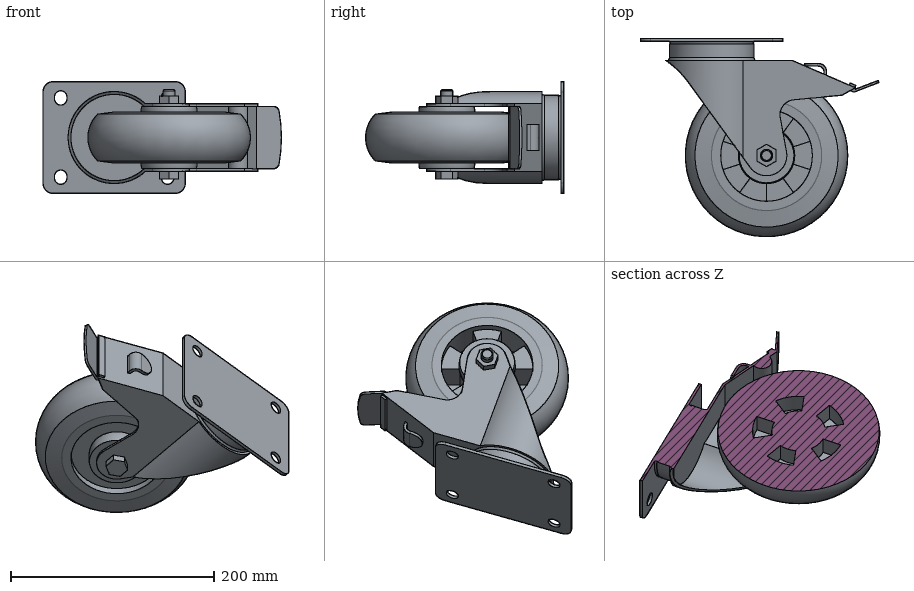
import cadquery as cq
import math


plate_length = 140.0
plate_width = 110.0
plate_thickness = 3.0
plate_corner = 10.0
plate_top = 115.1
swivel_x = -54.0
slot_spacing_x = 105.0
slot_spacing_z = 77.9
slot_width = 12.0
slot_length = 13.8

ring_diameter = 83.2
ring_edge = 1.0
neck_height = 2.3
ring_flare_height = 2.5

fork_top = 93.5
sheet = 2.8
fork_diameter = 90.5
cheek_half_width = 33.3
cheek_end_radius = 20.0
front_edge_angle = 216.0
front_edge_length = 103.2
rear_edge_angle = 10.6
inner_corner = (10.5, 53.2)
inner_corner_radius = 15.0
arm_heel = (74.0, 59.0)
arm_tip = (87.2, 66.5)
roof_bend_x = 25.0

wheel_radius = 80.0
tread_edge_radius = 70.4
tread_half_width = 23.0
rim_outer_radius = 54.2
rim_inner_radius = 45.0
rim_half_width = 25.0
pocket_count = 5
web_half_width = 17.1
pocket_floor = -13.8
core_radius = 26.5
hub_diameter = 55.5
hub_barrel = 1.0
hub_half_width = cheek_half_width - sheet

bolt_diameter = 12.0
bolt_end = 47.1
bolt_chamfer = 1.2
nut_flats = 19.0
nut_height = 7.5

pivot_diameter = 20.0
pivot_x = 68.2
pivot_y = 70.8
brake_sheet = 2.3
brake_half_width = 30.7
pedal_start = (85.8, 62.1)
pedal_angle = 21.0
pedal_length = 26.5
pedal_corner = 5.9
pedal_bow = 3.5
stop_width = 6.0
stop_height = 2.3
stop_from_tip = 0.5
lip_top = 90.5
lip_start_x = 37.5
lip_end_x = 59.0
lip_width = 25.8
lip_bend = 8.2

roof_slope = math.atan2(fork_top - arm_tip[1], arm_tip[0] - roof_bend_x)


def polar(radius, degrees):
    angle = math.radians(degrees)
    return (radius * math.cos(angle), radius * math.sin(angle))


def roof_y(x, depth=0.0):
    """Height of the sloping roof at x, measured depth below its outer face."""
    return fork_top - (x - roof_bend_x) * math.tan(roof_slope) - depth / math.cos(roof_slope)


def prism(outline, half_width):
    """Extrude a closed XY outline to both sides of the mid-plane."""
    return outline.extrude(half_width, both=True)


def make_plate():
    plate = (
        cq.Workplane("XZ", origin=(swivel_x, plate_top, 0))
        .rect(plate_length, plate_width)
        .extrude(plate_thickness)
        .edges("|Y")
        .fillet(plate_corner)
    )
    slots = (
        cq.Workplane("XZ", origin=(swivel_x, plate_top, 0))
        .rect(slot_spacing_x, slot_spacing_z, forConstruction=True)
        .vertices()
        .slot2D(slot_length, slot_width, 90)
        .extrude(plate_thickness)
    )
    return plate.cut(slots)


def make_swivel_ring():
    """Turned ring with a tapered neck under the plate and a flared foot on the fork."""
    radius = ring_diameter / 2
    top = plate_top - plate_thickness
    return (
        cq.Workplane("XY", origin=(swivel_x, 0, 0))
        .moveTo(0, fork_top - sheet)
        .lineTo(0, top)
        .lineTo(radius, top)
        .lineTo(radius - ring_edge, top - neck_height)
        .lineTo(radius, top - neck_height)
        .lineTo(radius, fork_top + ring_flare_height)
        .lineTo(radius + ring_edge, fork_top)
        .lineTo(radius + ring_edge, fork_top - sheet)
        .close()
        .revolve(360, (0, 0), (0, 1))
    )


def fork_section(inset):
    """Round-nosed block as seen along Y, reduced by inset all round."""
    depth = fork_top + cheek_end_radius
    reach = arm_tip[0] - swivel_x
    half_width = cheek_half_width - inset
    base = cq.Workplane("XZ", origin=(swivel_x, fork_top, 0))
    radius = fork_diameter / 2 - inset
    flat_start = math.sqrt(radius**2 - half_width**2)
    return (
        base.moveTo(flat_start, half_width)
        .threePointArc((-radius, 0), (flat_start, -half_width))
        .lineTo(reach, -half_width)
        .lineTo(reach, half_width)
        .close()
        .extrude(depth)
    )


def make_fork():
    front_tangent = polar(cheek_end_radius, front_edge_angle)
    along_front = polar(front_edge_length, front_edge_angle - 90)
    front_end = (front_tangent[0] + along_front[0], front_tangent[1] + along_front[1])
    rear_tangent = polar(cheek_end_radius, rear_edge_angle)
    side = prism(
        cq.Workplane("XY")
        .moveTo(*front_tangent)
        .lineTo(*front_end)
        .tangentArcPoint((swivel_x - fork_diameter / 2, fork_top), relative=False)
        .lineTo(roof_bend_x, fork_top)
        .lineTo(*arm_tip)
        .lineTo(*arm_heel)
        .lineTo(*inner_corner)
        .lineTo(*rear_tangent)
        .threePointArc((0, -cheek_end_radius), front_tangent)
        .close(),
        fork_diameter,
    )
    side = side.edges(cq.selectors.NearestToPointSelector((*inner_corner, 0))).fillet(inner_corner_radius)

    bend_depth_x = roof_bend_x - sheet * math.tan(roof_slope / 2)
    under_roof = prism(
        cq.Workplane("XY")
        .moveTo(swivel_x - fork_diameter, fork_top - sheet)
        .lineTo(bend_depth_x, fork_top - sheet)
        .lineTo(arm_tip[0], roof_y(arm_tip[0], sheet))
        .lineTo(arm_tip[0], -wheel_radius)
        .lineTo(swivel_x - fork_diameter, -wheel_radius)
        .close(),
        fork_diameter,
    )
    cavity = fork_section(sheet).intersect(under_roof)
    return fork_section(0).intersect(side).cut(cavity)


def make_wheel():
    wheel = (
        cq.Workplane("XZ")
        .moveTo(rim_inner_radius, -rim_half_width)
        .lineTo(rim_outer_radius, -rim_half_width)
        .lineTo(tread_edge_radius, -tread_half_width)
        .threePointArc((wheel_radius, 0), (tread_edge_radius, tread_half_width))
        .lineTo(rim_outer_radius, rim_half_width)
        .lineTo(rim_inner_radius, rim_half_width)
        .close()
        .revolve(360, (0, 0), (0, 1))
    )
    web = prism(cq.Workplane("XY").circle(rim_inner_radius), web_half_width)

    half_angle = 180 / pocket_count / 2
    for index in range(pocket_count):
        middle = (index + 0.5) * 360 / pocket_count
        first = middle - half_angle
        last = middle + half_angle
        pocket = (
            cq.Workplane("XY", origin=(0, 0, pocket_floor))
            .moveTo(*polar(core_radius, first))
            .lineTo(*polar(rim_inner_radius, first))
            .threePointArc(polar(rim_inner_radius, middle), polar(rim_inner_radius, last))
            .lineTo(*polar(core_radius, last))
            .threePointArc(polar(core_radius, middle), polar(core_radius, first))
            .close()
            .extrude(web_half_width - pocket_floor)
        )
        web = web.cut(pocket)
    wheel = wheel.union(web)

    hub_radius = hub_diameter / 2
    for side in (-1, 1):
        inner = side * web_half_width
        outer = side * hub_half_width
        hub_end = (
            cq.Workplane("XZ")
            .moveTo(0, inner)
            .lineTo(hub_radius - hub_barrel, inner)
            .threePointArc((hub_radius, (inner + outer) / 2), (hub_radius - hub_barrel, outer))
            .lineTo(0, outer)
            .close()
            .revolve(360, (0, 0), (0, 1))
        )
        wheel = wheel.union(hub_end)
    return wheel


def make_axle():
    nut_across_corners = nut_flats / math.cos(math.pi / 6)
    nuts = prism(
        cq.Workplane("XY").transformed(rotate=(0, 0, 90)).polygon(6, nut_across_corners),
        cheek_half_width + nut_height,
    )
    between_cheeks = prism(cq.Workplane("XY").circle(nut_across_corners), cheek_half_width)
    shank = (
        cq.Workplane("XY", origin=(0, 0, -cheek_half_width))
        .circle(bolt_diameter / 2)
        .extrude(bolt_end + cheek_half_width)
        .faces(">Z")
        .chamfer(bolt_chamfer)
    )
    return nuts.cut(between_cheeks).union(shank)


def make_brake_pivot():
    pivot = prism(cq.Workplane("XY").center(pivot_x, pivot_y).circle(pivot_diameter / 2), hub_half_width)
    above_roof = prism(
        cq.Workplane("XY")
        .moveTo(roof_bend_x, fork_top)
        .lineTo(*arm_tip)
        .lineTo(arm_tip[0], fork_top)
        .close(),
        hub_half_width,
    )
    return pivot.cut(above_roof)


def make_brake_lip():
    """Bent tab that rises through the roof and turns back over it."""
    buried_y = roof_y(lip_end_x - sheet, sheet)
    bar = (
        cq.Workplane("XY")
        .moveTo(lip_start_x, lip_top)
        .lineTo(lip_end_x - lip_bend, lip_top)
        .radiusArc((lip_end_x, lip_top - lip_bend), lip_bend)
        .lineTo(lip_end_x, buried_y)
        .lineTo(lip_end_x - sheet, buried_y)
        .lineTo(lip_end_x - sheet, lip_top - lip_bend)
        .radiusArc((lip_end_x - lip_bend, lip_top - sheet), sheet - lip_bend)
        .lineTo(lip_start_x, lip_top - sheet)
        .close()
    )
    bar = prism(bar, lip_width / 2)
    return bar.edges("|Y").edges("<X").fillet(lip_width / 2 - 0.2)


def make_pedal():
    """Flat foot pedal with a bowed end, tilted up from the arm tip, with a joint that fills in to the roof."""
    straight = pedal_length - pedal_bow
    pedal = (
        cq.Workplane("XZ")
        .moveTo(0, -brake_half_width)
        .lineTo(straight, -brake_half_width)
        .threePointArc((pedal_length, 0), (straight, brake_half_width))
        .lineTo(0, brake_half_width)
        .close()
        .extrude(-brake_sheet)
        .edges("|Y")
        .edges(">X")
        .fillet(pedal_corner)
    )
    pedal = pedal.rotate((0, 0, 0), (0, 0, 1), pedal_angle).translate((*pedal_start, 0))

    pedal_end = polar(brake_sheet, pedal_angle)
    joint_rise = (pedal_start[0] - pivot_x) * math.tan(roof_slope)
    joint = prism(
        cq.Workplane("XY")
        .moveTo(pivot_x, roof_y(pivot_x, sheet))
        .lineTo(pivot_x, pedal_start[1] + joint_rise)
        .lineTo(*pedal_start)
        .lineTo(pedal_start[0] + pedal_end[0] - pedal_end[1], pedal_start[1] + pedal_end[0] + pedal_end[1])
        .lineTo(*arm_tip)
        .close(),
        brake_half_width,
    )
    return pedal.union(joint)


def make_pedal_stop():
    """Low bar across the roof just above the arm tip."""
    bar = (
        cq.Workplane("XY")
        .box(stop_width, stop_height + sheet, 2 * brake_half_width)
        .translate((-stop_width / 2 - stop_from_tip, (stop_height - sheet) / 2, 0))
    )
    return bar.rotate((0, 0, 0), (0, 0, 1), -math.degrees(roof_slope)).translate((*arm_tip, 0))


result = make_plate()
for component in (
    make_swivel_ring(),
    make_fork(),
    make_wheel(),
    make_axle(),
    make_brake_pivot(),
    make_brake_lip(),
    make_pedal(),
    make_pedal_stop(),
):
    result = result.union(component)